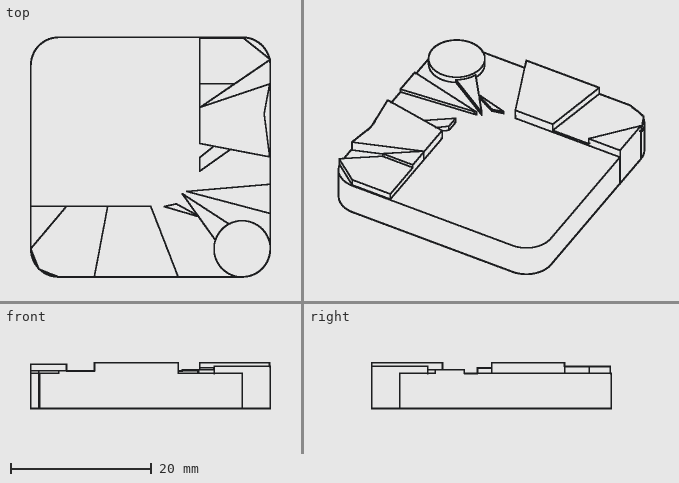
import cadquery as cq

width = 34.0
depth = 34.05
plate_height = 5.0
corner_radius = 4.0

block_top = 6.5
left_wedge_top = 6.3
pin_top = 6.0
corner_block_top = pin_top
shard_top = 5.8
ray_top = 5.5
low_top = 5.35

front_line = 10.08
right_line = 23.95
left_overhang = 0.015

front_block_left_back = (10.93, front_line)
front_block_left_front = (9.02, 0)
crack_y = 24.03
crack_overlap = 0.05
cap_back = 27.4

pin_center = (width - corner_radius, corner_radius)


def prism(points, top):
    """Upright piece from the bottom plane to the given level."""
    return cq.Workplane("XY").polyline(points).close().extrude(top)


def raised_prism(points, top):
    """Upright piece standing on the plate."""
    return prism(points, top - plate_height).translate((0, 0, plate_height))


def make_pin():
    """Round pin filling the front right corner of the plate."""
    return cq.Workplane("XY").center(*pin_center).circle(corner_radius).extrude(pin_top)


def make_plate():
    """Rounded square plate."""
    plate = cq.Workplane("XY").box(width, depth, plate_height, centered=False)
    return plate.edges("|Z").fillet(corner_radius)


def front_pieces():
    """Low step, block and wedge along the front edge."""
    low_step = prism(
        [
            (0, front_line), (0, corner_radius), (1.15, 1.12), (corner_radius, 0),
            front_block_left_front, front_block_left_back,
        ],
        low_top,
    )
    block = prism(
        [front_block_left_back, (17.02, front_line), (20.95, 0), front_block_left_front],
        block_top,
    )
    wedge = prism(
        [(-left_overhang, front_line), (5.1, front_line), (-left_overhang, corner_radius)],
        left_wedge_top,
    )
    return [low_step, block, wedge]


def right_pieces():
    """Corner block with its cap, large block and shard along the right edge."""
    crack_start = (right_line, crack_y)
    corner_block = raised_prism(
        [crack_start, (width, 30.87), (30.2, 33.9), (right_line, 33.9)],
        corner_block_top,
    )
    cap = raised_prism([crack_start, (28.9, cap_back), (right_line, cap_back)], block_top)
    block = raised_prism(
        [
            (right_line, crack_y + crack_overlap), (33.9, cap_back), (33.12, 23.18),
            (33.9, 17.05), (right_line, 18.95),
        ],
        block_top,
    )
    shard = raised_prism(
        [(right_line, 16.95), (right_line, 15.0), (28.75, 18.4), (26.28, 18.82)],
        shard_top,
    )
    return [corner_block, cap, block, shard]


def rays():
    """Thin pointed pieces spreading towards the pin and the right edge."""
    right_ray = raised_prism([(22.13, 12.15), (width, 13.17), (width, 9.02)], ray_top)
    pin_ray = raised_prism([(21.48, 11.85), (29.15, 6.88), (26.93, 4.22)], ray_top)
    small_ray = raised_prism([(18.93, 10.0), (20.65, 10.38), (24.17, 8.48)], low_top)
    return [right_ray, pin_ray, small_ray]


def make_base(pin):
    """Plate and all raised pieces, notched for the pin."""
    base = make_plate()
    for piece in front_pieces() + right_pieces() + rays():
        base = base.union(piece)
    return base.cut(pin)


pin = make_pin()
base = make_base(pin)
result = cq.Compound.makeCompound([base.solids().val(), pin.val()])